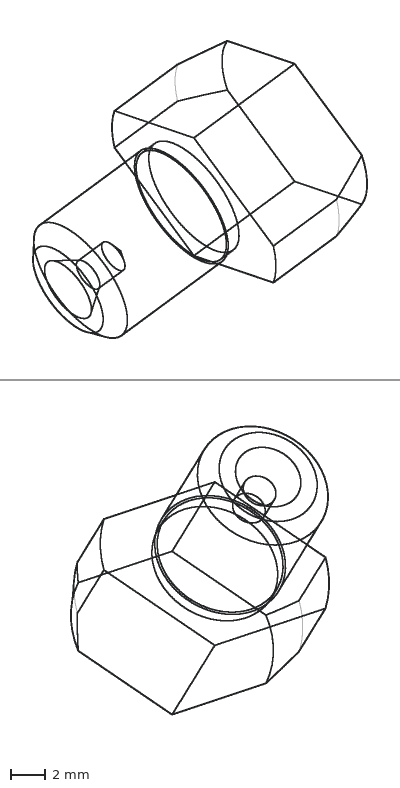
import cadquery as cq
import math


head_length = 8.0
head_diameter = 14.0
rhombus_height = 11.2
side_land_height = 3.5
lead_in_length = 3.0
lead_in_angle = 15.0

shank_length = 10.0
shank_diameter = 8.0
shank_chamfer = 1.0
relief_length = 1.0
relief_diameter = 7.7

mouth_diameter = 4.0
hole_diameter = 2.0
countersink_depth = 1.6
hole_straight_length = 2.0
drill_point_angle = 120.0


def turned(profile):
    """Solid of revolution about the Y axis from (radius, y) points."""
    return cq.Workplane("ZY").polyline(profile).close().revolve(360, (0, 0, 0), (0, 1, 0))


def make_head():
    """Tapered round blank trimmed to a rhombus with ridges on top and bottom."""
    radius = head_diameter / 2
    back_radius = radius - lead_in_length * math.tan(math.radians(lead_in_angle))
    blank = turned([
        (0, 0),
        (radius, 0),
        (radius, head_length - lead_in_length),
        (back_radius, head_length),
        (0, head_length),
    ])
    half_height = rhombus_height / 2
    land_edge_z = side_land_height / 2
    land_edge_x = math.sqrt(radius**2 - land_edge_z**2)
    half_width = land_edge_x * half_height / (half_height - land_edge_z)
    rhombus = (
        cq.Workplane("XZ")
        .polyline([(half_width, 0), (0, half_height), (-half_width, 0), (0, -half_height)])
        .close()
        .extrude(-head_length)
    )
    return blank.intersect(rhombus)


def make_shank():
    """Round shank with a relief groove at the head and a chamfered end."""
    radius = shank_diameter / 2
    relief_radius = relief_diameter / 2
    return turned([
        (0, 0),
        (relief_radius, 0),
        (relief_radius, -relief_length),
        (radius, -relief_length),
        (radius, shank_chamfer - shank_length),
        (radius - shank_chamfer, -shank_length),
        (0, -shank_length),
    ])


def make_center_hole():
    """Countersink, short straight bore and conical drill point."""
    mouth_radius = mouth_diameter / 2
    hole_radius = hole_diameter / 2
    bore_start = -shank_length + countersink_depth
    bore_end = bore_start + hole_straight_length
    tip = bore_end + hole_radius / math.tan(math.radians(drill_point_angle / 2))
    return turned([
        (0, -shank_length),
        (mouth_radius, -shank_length),
        (hole_radius, bore_start),
        (hole_radius, bore_end),
        (0, tip),
    ])


result = make_head().union(make_shank()).cut(make_center_hole())